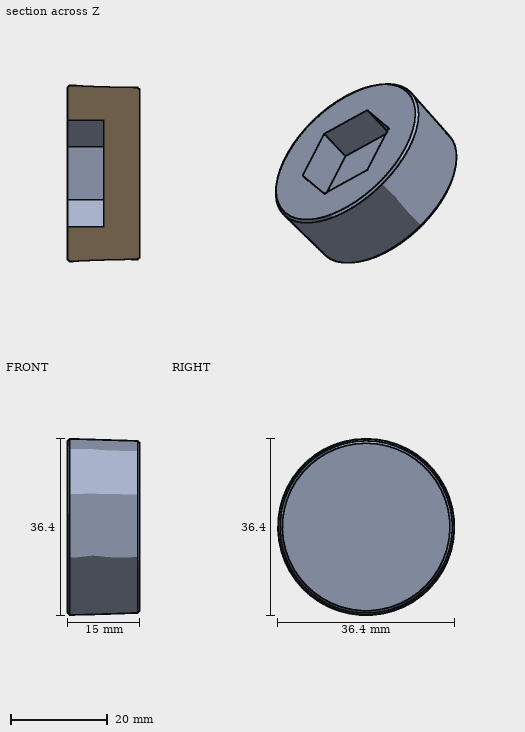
import cadquery as cq
import math

length = 15.0
large_diameter = 36.44
taper = 1 / 16
chamfer = 0.5
hex_across_flats = 19.0
hex_sides = 6
hex_depth = length / 2

large_radius = large_diameter / 2
cone_length = length - 2 * chamfer
small_radius = large_radius - cone_length * taper / 2
socket_end_x = -length / 2
plain_end_x = length / 2


def tapered_body():
    """Conical plug with a 45 degree chamfer at each end, revolved about X."""
    half_profile = (
        cq.Workplane("XZ")
        .moveTo(socket_end_x, 0)
        .lineTo(socket_end_x, large_radius - chamfer)
        .lineTo(socket_end_x + chamfer, large_radius)
        .lineTo(plain_end_x - chamfer, small_radius)
        .lineTo(plain_end_x, small_radius - chamfer)
        .lineTo(plain_end_x, 0)
        .close()
    )
    return half_profile.revolve(axisStart=(0, 0, 0), axisEnd=(1, 0, 0))


def hex_socket():
    """Blind hexagonal socket in the -X face, two corners level with the axis along Y."""
    across_corners = hex_across_flats / math.cos(math.pi / hex_sides)
    return (
        cq.Workplane("YZ", origin=(socket_end_x, 0, 0))
        .polygon(hex_sides, across_corners)
        .extrude(hex_depth)
    )


result = tapered_body().cut(hex_socket())